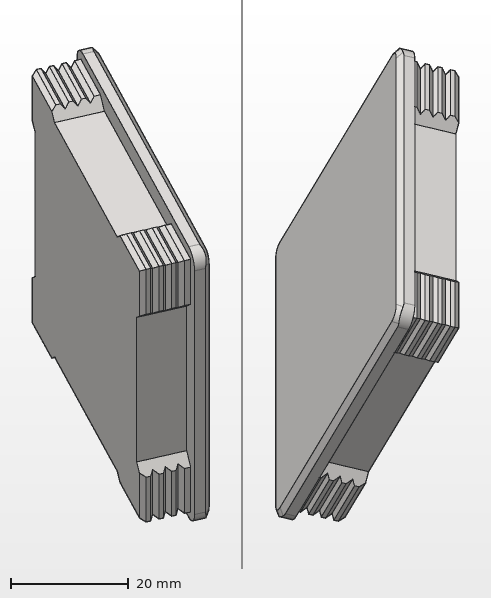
import cadquery as cq


flange_side = 60.0
flange_thickness = 3.0
flange_chamfer = 1.0
flange_corner_radius = 3.0

flange_overhang = 2.0
plug_side = flange_side - 2 * flange_overhang
plug_length = 9.0

groove_count = 3
groove_depth = 0.7
first_groove_bottom = 2.05
groove_pitch = 2.3
flange_flank = 0.9
tip_flank = 0.6

tip_chamfer_length = 0.95
tip_chamfer_depth = 0.65

recess_depth = 2.05
recess_floor_length = 32.05
recess_mouth_length = recess_floor_length + 2 * recess_depth


def make_flange():
    """Square plate with rounded corners, chamfered around its outer face."""
    plate = cq.Workplane("XZ").rect(flange_side, flange_side).extrude(-flange_thickness)
    plate = plate.edges("|Y").fillet(flange_corner_radius)

    outer_face_side = flange_side - 2 * flange_chamfer
    base_side = outer_face_side + 2 * flange_thickness
    frustum = cq.Workplane("XZ").rect(base_side, base_side).extrude(-flange_thickness, taper=45)
    frustum = frustum.edges("not(|X or |Z)").fillet(flange_corner_radius)
    return plate.intersect(frustum)


def ribbed_profile():
    """Points (half width, Y) down one side of the plug, from the flange to the tip."""
    rib = plug_side / 2
    groove = rib - groove_depth
    points = [(rib, 0)]
    for i in range(groove_count):
        bottom = first_groove_bottom + i * groove_pitch
        points.append((rib, flange_flank - bottom))
        points.append((groove, -bottom))
        points.append((rib, -bottom - tip_flank))
    points.append((rib, tip_chamfer_length - plug_length))
    points.append((rib - tip_chamfer_depth, -plug_length))
    return points


def make_plug():
    """Square plug whose grooves are mitred at the corners."""
    side = ribbed_profile()
    opposite_side = [(-u, y) for u, y in reversed(side)]
    outline = cq.Workplane("XY").polyline(side + opposite_side).close()
    bar_along_z = outline.extrude(plug_side / 2, both=True)
    bar_along_x = bar_along_z.rotate((0, 0, 0), (0, 1, 0), 90)
    return bar_along_z.intersect(bar_along_x)


def make_recess():
    """Cutter for the recess in the +Z side of the plug."""
    mouth_z = plug_side / 2
    floor_z = mouth_z - recess_depth
    outline = [
        (-recess_mouth_length / 2, mouth_z),
        (-recess_floor_length / 2, floor_z),
        (recess_floor_length / 2, floor_z),
        (recess_mouth_length / 2, mouth_z),
    ]
    return cq.Workplane("XZ").polyline(outline).close().extrude(plug_length)


plug = make_plug()
recess = make_recess()
for angle in (0, 90, 180, 270):
    plug = plug.cut(recess.rotate((0, 0, 0), (0, 1, 0), angle))

result = make_flange().union(plug)